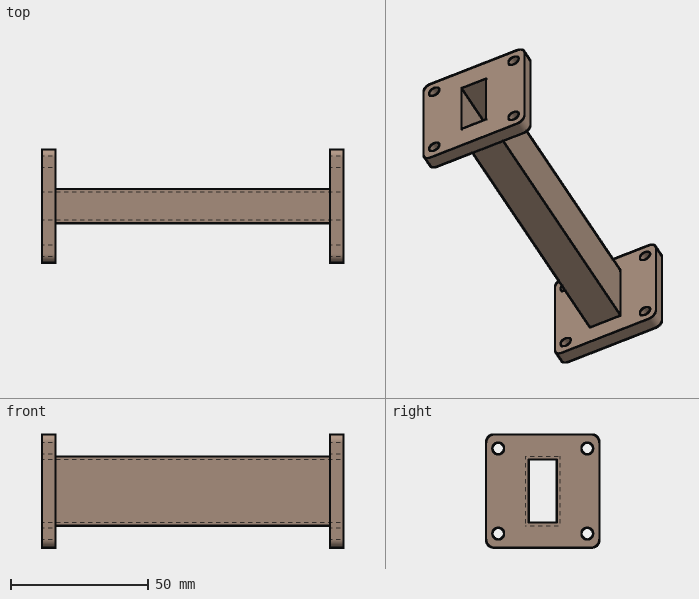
import cadquery as cq

length = 110.0
flange_side = 41.4
flange_thickness = 5.1
corner_radius = 3.0

bore_y = 10.1
bore_z = 22.9
wall = 1.2
tube_y = bore_y + 2 * wall
tube_z = bore_z + 2 * wall

hole_diameter = 4.2
hole_spacing_y = 32.5
hole_spacing_z = 31.0


def flange(center_x):
    """Square plate with rounded corners and four bolt holes."""
    plate = (
        cq.Workplane("XY")
        .box(flange_thickness, flange_side, flange_side)
        .edges("|X")
        .fillet(corner_radius)
    )
    drilled = (
        plate.faces(">X")
        .workplane()
        .rarray(hole_spacing_y, hole_spacing_z, 2, 2)
        .hole(hole_diameter)
    )
    return drilled.translate((center_x, 0, 0))


result = cq.Workplane("XY").box(length, tube_y, tube_z)
flange_offset = (length - flange_thickness) / 2
for side in (-1, 1):
    result = result.union(flange(side * flange_offset))

bore = cq.Workplane("XY").box(length, bore_y, bore_z)
result = result.cut(bore)